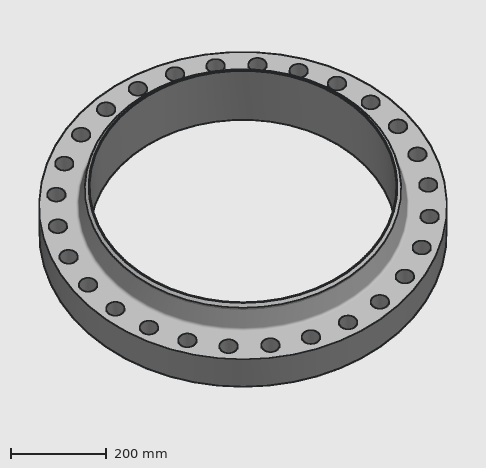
import cadquery as cq
import math


flange_diameter = 851.0
flange_thickness = 88.0

raised_face_diameter = 711.0
raised_face_height = 8.0

total_height = 156.0
bore_diameter = 640.0
hub_root_diameter = 688.0
hub_neck_diameter = 660.0
neck_height = 13.0
root_fillet_radius = 7.0
weld_land_width = 2.5
weld_bevel_angle = 37.5

bolt_count = 28
bolt_circle_diameter = 781.0
bolt_hole_diameter = 38.0

flange_top = raised_face_height + flange_thickness
neck_bottom = total_height - neck_height

bore_radius = bore_diameter / 2
flange_radius = flange_diameter / 2
raised_face_radius = raised_face_diameter / 2
hub_root_radius = hub_root_diameter / 2
hub_neck_radius = hub_neck_diameter / 2
weld_land_radius = bore_radius + weld_land_width

bevel_height = (hub_neck_radius - weld_land_radius) * math.tan(math.radians(weld_bevel_angle))


def make_body():
    """Revolve the half section, then round the corner where the hub meets the plate."""
    section = [
        (bore_radius, 0),
        (raised_face_radius, 0),
        (raised_face_radius, raised_face_height),
        (flange_radius, raised_face_height),
        (flange_radius, flange_top),
        (hub_root_radius, flange_top),
        (hub_neck_radius, neck_bottom),
        (hub_neck_radius, total_height - bevel_height),
        (weld_land_radius, total_height),
        (bore_radius, total_height),
    ]
    body = cq.Workplane("XZ").polyline(section).close().revolve(360, (0, 0), (0, 1))
    hub_root_edge = cq.selectors.RadiusNthSelector(-3)
    return body.edges("%CIRCLE").edges(hub_root_edge).fillet(root_fillet_radius)


def make_bolt_holes():
    """Cylinders on the bolt circle that pass through the whole plate."""
    return (
        cq.Workplane("XY")
        .polarArray(bolt_circle_diameter / 2, 0, 360, bolt_count)
        .circle(bolt_hole_diameter / 2)
        .extrude(flange_top)
    )


result = make_body().cut(make_bolt_holes())